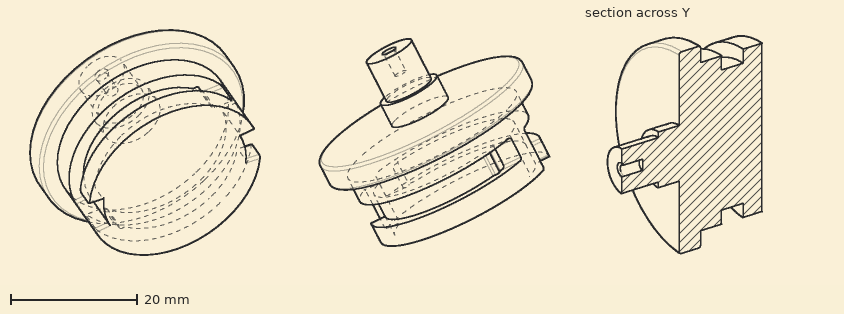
import cadquery as cq
import math


flange_diameter = 36.0
drum_diameter = 30.0
collar_diameter = 10.0
shaft_diameter = 8.0
shaft_length = 7.02
collar_length = 4.0
flange_thickness = 4.2
total_length = 27.0
flange_start = shaft_length + collar_length
drum_start = flange_start + flange_thickness
flange_round = 0.5

recess_mouth_diameter = 2.4
recess_bore_diameter = 1.9
recess_mouth_depth = 0.4
recess_depth = 4.0
recess_mouth_offset = (recess_mouth_diameter - recess_bore_diameter) / 2

groove_count = 2
groove_floor_diameter = 25.0
groove_width = 4.1
helix_pitch = 1.3
groove_top_position = 19.22
corner_radius = 0.45
end_wall_angle = 36.8
end_wall_tilt = 4.7
entry_wall_angle = 200.4
entry_wall_tilt = 10.5
tooth_end_height = 0.72
overrun = 10.0
clearance = 0.72

bump_radius = 0.5
bump_angle = 53.0
bump_foot_round = 0.43

drum_radius = drum_diameter / 2
floor_radius = groove_floor_diameter / 2
tooth_end_angle = 180 - math.degrees(math.asin(tooth_end_height / drum_radius))
reach = flange_diameter


def polar(radius, degrees):
    angle = math.radians(degrees)
    return (radius * math.cos(angle), radius * math.sin(angle))


def disc(diameter, start, length):
    return cq.Workplane("XY").workplane(offset=start).circle(diameter / 2).extrude(length)


def make_body():
    flange = disc(flange_diameter, flange_start, flange_thickness).edges().fillet(flange_round)
    return (
        disc(shaft_diameter, 0, flange_start)
        .union(disc(collar_diameter, shaft_length, collar_length))
        .union(flange)
        .union(disc(drum_diameter, drum_start, total_length - drum_start))
    )


def make_recess():
    mouth = (
        cq.Workplane("XY")
        .center(0, recess_mouth_offset)
        .circle(recess_mouth_diameter / 2)
        .workplane(offset=recess_mouth_depth)
        .center(0, -recess_mouth_offset)
        .circle(recess_bore_diameter / 2)
        .loft()
    )
    return mouth.union(disc(recess_bore_diameter, recess_mouth_depth, recess_depth - recess_mouth_depth))


def make_core():
    """Cylinder of the groove floors, carrying the detent bumps."""
    core_length = total_length - drum_start
    core = disc(groove_floor_diameter, drum_start, core_length)
    for index in range(groove_count):
        angle = bump_angle + index * 360 / groove_count
        bump = (
            disc(2 * bump_radius, drum_start, core_length)
            .rotate((0, 0, 0), (0, 0, 1), 180)
            .translate((floor_radius, 0, 0))
            .rotate((0, 0, 0), (0, 0, 1), angle)
        )
        x, y = polar(floor_radius, angle)
        around_bump = cq.selectors.BoxSelector(
            (x - 2 * bump_radius, y - 2 * bump_radius, drum_start),
            (x + 2 * bump_radius, y + 2 * bump_radius, total_length),
        )
        core = core.union(bump).edges(around_bump).edges("|Z").fillet(bump_foot_round)
    return core


def make_helical_track():
    """Rectangular section swept along the helix, a little past both end walls."""
    start_angle = end_wall_angle - overrun
    sweep_angle = entry_wall_angle + overrun - start_angle
    start_position = lower_flank(start_angle)
    helix = cq.Wire.makeHelix(helix_pitch, helix_pitch * sweep_angle / 360, floor_radius)
    inner = floor_radius - clearance
    outer = drum_radius + clearance
    return (
        cq.Workplane("XZ")
        .moveTo(inner, 0)
        .lineTo(outer, 0)
        .lineTo(outer, groove_width)
        .lineTo(inner, groove_width)
        .close()
        .sweep(cq.Workplane(obj=helix), isFrenet=True)
        .rotate((0, 0, 0), (0, 0, 1), start_angle)
        .translate((0, 0, start_position))
    )


def lower_flank(angle):
    """Axial position of the lower groove flank at an angle around the axis."""
    return groove_top_position + helix_pitch * (angle - 90) / 360


def wall_point(angle, tilt, position):
    """Point halfway down the groove on a wall that meets the drum at an angle."""
    x, y = polar(drum_radius, angle)
    inward = math.copysign((drum_radius - floor_radius) / 2, x)
    return (x - inward, y - inward * math.tan(math.radians(tilt)), position)


def round_edges(solid, points):
    for point in points:
        solid = solid.edges(cq.selectors.NearestToPointSelector(point)).fillet(corner_radius)
    return solid


def turn(solid, index):
    return solid.rotate((0, 0, 0), (0, 0, 1), index * 360 / groove_count)


def axis_crossing(angle, tilt):
    """Height at which a tilted wall through a drum surface point crosses x = 0."""
    x, y = polar(drum_radius, angle)
    return y - x * math.tan(math.radians(tilt))


def make_groove():
    end_y = axis_crossing(end_wall_angle, end_wall_tilt)
    entry_y = axis_crossing(entry_wall_angle, entry_wall_tilt)
    end_rise = reach * math.tan(math.radians(end_wall_tilt))
    entry_drop = reach * math.tan(math.radians(entry_wall_tilt))
    between_walls = (
        cq.Workplane("XY")
        .moveTo(0, entry_y)
        .lineTo(0, end_y)
        .lineTo(reach, end_y + end_rise)
        .lineTo(reach, reach)
        .lineTo(-reach, reach)
        .lineTo(-reach, entry_y - entry_drop)
        .close()
        .extrude(total_length + clearance)
    )
    entry_start = groove_top_position + groove_width / 2
    entry = (
        cq.Workplane("XY")
        .workplane(offset=entry_start)
        .moveTo(0, -reach)
        .lineTo(-reach, -reach)
        .lineTo(-reach, tooth_end_height)
        .lineTo(0, tooth_end_height)
        .close()
        .extrude(total_length + clearance - entry_start)
    )
    ring = disc(2 * (drum_radius + clearance), 0, total_length + clearance).cut(
        disc(2 * (floor_radius - clearance), 0, total_length + clearance)
    )
    groove = make_helical_track().union(entry.intersect(ring)).intersect(between_walls)
    corners = [
        wall_point(end_wall_angle, end_wall_tilt, lower_flank(end_wall_angle)),
        wall_point(end_wall_angle, end_wall_tilt, lower_flank(end_wall_angle) + groove_width),
        wall_point(entry_wall_angle, entry_wall_tilt, lower_flank(entry_wall_angle)),
    ]
    return round_edges(groove, corners).cut(make_core())


def make_part():
    part = make_body()
    groove = make_groove()
    for index in range(groove_count):
        part = part.cut(turn(groove, index))
    for index in range(groove_count):
        part = round_edges(
            turn(part, index),
            [
                wall_point(entry_wall_angle, entry_wall_tilt, total_length),
                wall_point(tooth_end_angle, 0, total_length),
                wall_point(tooth_end_angle, 0, lower_flank(tooth_end_angle) + groove_width),
            ],
        )
    return part.cut(make_recess())


result = make_part().rotate((0, 0, 0), (1, 1, 1), 120)